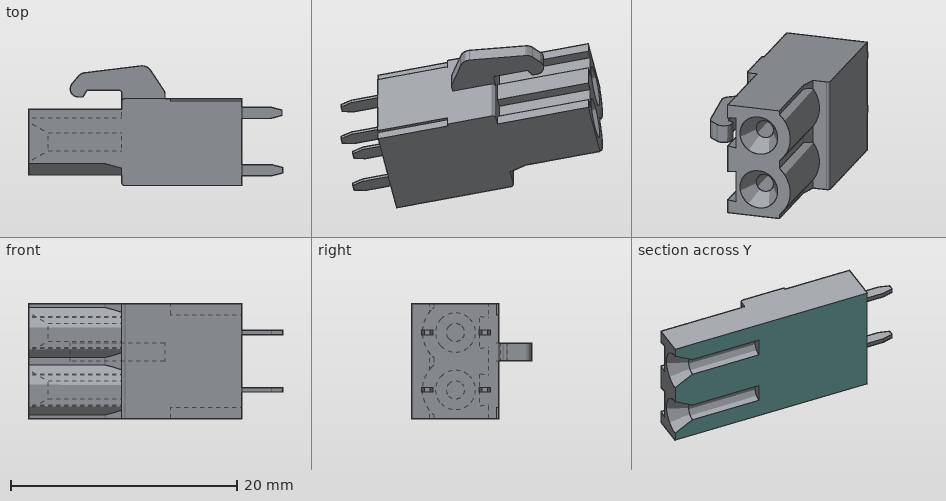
import cadquery as cq

pole_pitch = 5.07
housing_height = 10.17
mid_z = housing_height / 2
pole_heights = [mid_z - pole_pitch / 2, mid_z + pole_pitch / 2]

body_start = 8.22
body_end = 18.84
body_width = 7.7
body_corner_radius = 0.3

nose_bottom = 1.95
nose_top = 6.75
ramp_start = 6.74
ramp_bottom = 1.55
barrel_radius = 2.92
barrel_y = 3.86

funnel_mouth_diameter = 3.5
socket_diameter = 1.6
funnel_depth = 1.7
socket_depth = body_start

keyway_depth = 0.76
keyway_mouth = 2.65
keyway_floor = 2.83

step_start = 12.53
step_depth = 0.2
step_height = 1.0

latch_thickness = 1.57
latch_bottom = 5.12
latch_sink = 0.45
latch_root_end = 12.05
latch_gap_top = 8.42

front_pin_y = 1.37
pins = [(front_pin_y, 22.45), (front_pin_y + pole_pitch, 22.38)]
pin_width = 1.0
pin_thickness = 0.4
pin_taper_length = 0.99
pin_tip_width = 0.5


def block(x_range, y_range, z_range):
    """Axis-aligned box given by its limits on each axis."""
    corner = (x_range[0], y_range[0], z_range[0])
    size = (x_range[1] - x_range[0], y_range[1] - y_range[0], z_range[1] - z_range[0])
    return cq.Workplane("XY").box(*size, centered=False).translate(corner)


def make_body():
    body = block((body_start, body_end), (0, body_width), (0, housing_height))
    body = body.edges("|Z and <X").fillet(body_corner_radius)
    for z_range in [(0, step_height), (housing_height - step_height, housing_height)]:
        body = body.cut(block((step_start, body_end), (body_width - step_depth, body_width), z_range))
    return body


def make_nose():
    nose = (
        cq.Workplane("XY")
        .moveTo(0, nose_bottom)
        .lineTo(ramp_start, nose_bottom)
        .lineTo(body_start, ramp_bottom)
        .lineTo(body_start, nose_top)
        .lineTo(0, nose_top)
        .close()
        .extrude(housing_height)
    )
    barrel_room = block((0, body_start), (0, barrel_y), (0, housing_height))
    for z in pole_heights:
        barrel = cq.Workplane("YZ").center(barrel_y, z).circle(barrel_radius).extrude(body_start)
        nose = nose.union(barrel.intersect(barrel_room))
    return nose


def make_keyway(z):
    floor_y = nose_top - keyway_depth
    return (
        cq.Workplane("YZ")
        .moveTo(nose_top, z - keyway_mouth / 2)
        .lineTo(floor_y, z - keyway_floor / 2)
        .lineTo(floor_y, z + keyway_floor / 2)
        .lineTo(nose_top, z + keyway_mouth / 2)
        .close()
        .extrude(body_start)
    )


def make_socket(z):
    funnel = (
        cq.Workplane("YZ")
        .center(barrel_y, z)
        .circle(funnel_mouth_diameter / 2)
        .workplane(offset=funnel_depth)
        .circle(socket_diameter / 2)
        .loft(ruled=True)
    )
    bore = cq.Workplane("YZ").center(barrel_y, z).circle(socket_diameter / 2).extrude(socket_depth)
    return funnel.union(bore)


def make_latch():
    root_y = body_width - latch_sink
    rounded_corners = [
        (latch_root_end, 8.26, 0.67),
        (10.46, 10.66, 0.95),
        (4.6, 9.95, 0.85),
        (2.85, 7.84, 0.72),
        (4.8, 7.84, 0.11),
        (5.15, latch_gap_top, 0.11),
        (body_start, latch_gap_top, 0.2),
    ]
    outline = [(latch_root_end, root_y)]
    outline += [(x, y) for x, y, radius in rounded_corners]
    outline.append((body_start, root_y))
    latch = (
        cq.Workplane("XY")
        .workplane(offset=latch_bottom)
        .polyline(outline)
        .close()
        .extrude(latch_thickness)
    )
    for x, y, radius in rounded_corners:
        corner = (x, y, latch_bottom + latch_thickness / 2)
        latch = latch.edges(cq.selectors.NearestToPointSelector(corner)).fillet(radius)
    return latch


def make_pin(y, z, tip_x):
    half_width = pin_width / 2
    half_tip = pin_tip_width / 2
    taper_x = tip_x - pin_taper_length
    return (
        cq.Workplane("XY")
        .workplane(offset=z - pin_thickness / 2)
        .moveTo(body_end, y - half_width)
        .lineTo(taper_x, y - half_width)
        .lineTo(tip_x, y - half_tip)
        .lineTo(tip_x, y + half_tip)
        .lineTo(taper_x, y + half_width)
        .lineTo(body_end, y + half_width)
        .close()
        .extrude(pin_thickness)
    )


result = make_body().union(make_nose()).union(make_latch())
for pole_z in pole_heights:
    result = result.cut(make_keyway(pole_z)).cut(make_socket(pole_z))
    for pin_y, pin_tip_x in pins:
        result = result.union(make_pin(pin_y, pole_z, pin_tip_x))